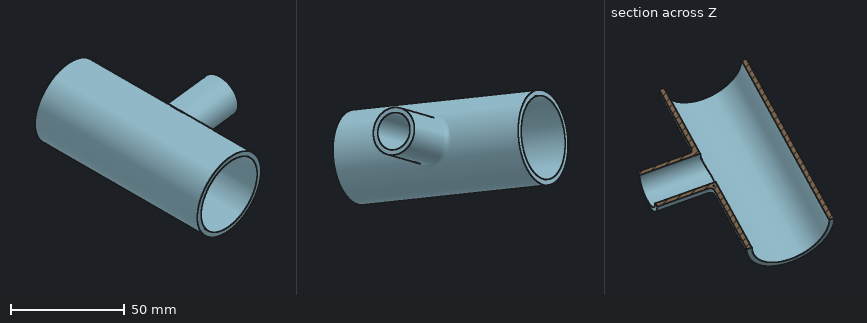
import cadquery as cq

run_length = 96.0
run_outer_diameter = 42.4
run_bore_diameter = 37.2

branch_reach = 48.0
branch_outer_diameter = 21.3
branch_bore_diameter = 16.7

blend_radius = 2.0


def run_cylinder(diameter):
    return cq.Workplane("YZ").circle(diameter / 2).extrude(run_length / 2, both=True)


def branch_cylinder(diameter):
    return cq.Workplane("XZ").circle(diameter / 2).extrude(-branch_reach)


body = run_cylinder(run_outer_diameter).union(branch_cylinder(branch_outer_diameter))

joint_box = cq.selectors.BoxSelector(
    (-branch_outer_diameter, 0, -branch_outer_diameter),
    (branch_outer_diameter, run_outer_diameter / 2 + blend_radius, branch_outer_diameter),
    boundingbox=True,
)
body = body.edges(joint_box).fillet(blend_radius)

result = body.cut(run_cylinder(run_bore_diameter)).cut(branch_cylinder(branch_bore_diameter))